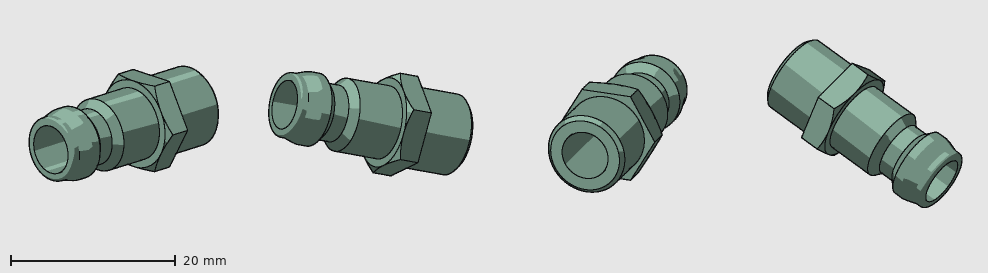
import cadquery as cq
import math

total_length = 24.0
thread_length = 7.0
hex_width = 3.0
hex_across_flats = 11.0
body_length = 6.0
groove_length = 2.0
shoulder_length = 1.0
bead_length = 1.2
nose_length = 0.95

thread_radius = 5.0
body_radius = 4.5
groove_radius = 3.5
nose_radius = 4.0
bore_radius = 3.0

thread_chamfer = 0.5
nose_fillet = 0.3
hex_chamfer_angle = 30.0
taper_bulge = 0.05

y_tip = -total_length / 2
y_end = total_length / 2
y_hex_back = y_end - thread_length
y_hex_front = y_hex_back - hex_width
y_body_front = y_hex_front - body_length
y_groove_back = y_body_front - shoulder_length
y_groove_front = y_groove_back - groove_length
y_bead_back = y_groove_front - shoulder_length
y_bead_front = y_bead_back - bead_length
y_nose_back = y_tip + nose_length


def make_turned_body():
    """Plug nose, groove, body and threaded shank revolved about Y."""
    taper_middle = (
        (body_radius + nose_radius) / 2 + taper_bulge,
        (y_bead_front + y_nose_back) / 2,
    )
    fillet_inset = nose_fillet * (1 - math.sqrt(0.5))
    profile = (
        cq.Workplane("XY")
        .moveTo(0, y_tip)
        .lineTo(nose_radius - nose_fillet, y_tip)
        .threePointArc(
            (nose_radius - fillet_inset, y_tip + fillet_inset),
            (nose_radius, y_tip + nose_fillet),
        )
        .lineTo(nose_radius, y_nose_back)
        .threePointArc(taper_middle, (body_radius, y_bead_front))
        .lineTo(body_radius, y_bead_back)
        .lineTo(groove_radius, y_groove_front)
        .lineTo(groove_radius, y_groove_back)
        .lineTo(body_radius, y_body_front)
        .lineTo(body_radius, y_hex_back)
        .lineTo(thread_radius, y_hex_back)
        .lineTo(thread_radius, y_end - thread_chamfer)
        .lineTo(thread_radius - thread_chamfer, y_end)
        .lineTo(0, y_end)
        .close()
    )
    return profile.revolve(360, (0, 0, 0), (0, 1, 0))


def make_hexagon():
    """Wrench hexagon, corners on X, with its front corners turned off."""
    flat_radius = hex_across_flats / 2
    corner_radius = flat_radius / math.cos(math.pi / 6)
    prism = (
        cq.Workplane("XZ", origin=(0, y_hex_back, 0))
        .polygon(6, 2 * corner_radius)
        .extrude(hex_width)
    )
    cone_depth = (corner_radius - flat_radius) * math.tan(math.radians(hex_chamfer_angle))
    envelope = (
        cq.Workplane("XY")
        .moveTo(0, y_hex_front)
        .lineTo(flat_radius, y_hex_front)
        .lineTo(corner_radius, y_hex_front + cone_depth)
        .lineTo(corner_radius, y_hex_back)
        .lineTo(0, y_hex_back)
        .close()
        .revolve(360, (0, 0, 0), (0, 1, 0))
    )
    return prism.intersect(envelope)


def make_bore():
    """Plain through bore along Y."""
    return cq.Workplane("XZ", origin=(0, y_end, 0)).circle(bore_radius).extrude(total_length)


result = make_turned_body().union(make_hexagon()).cut(make_bore())